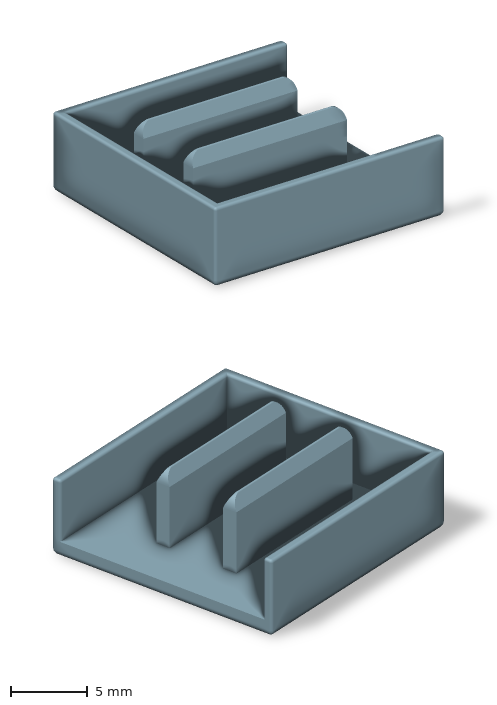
import cadquery as cq
import math

tray_width = 18.1
tray_depth = 18.5
tray_height = 5.79
wall_thickness = 0.7
floor_thickness = 1.2
edge_radius = 0.2
bottom_radius = 0.5

blade_length = 12.4
blade_width = 1.1
blade_pitch = 5.5
blade_front = 2.4
blade_top = 6.8
bevel_height = 1.02
tip_radius = 0.1
end_radius = bevel_height


def make_tray():
    """Open-ended tray with rounded rim, corners and underside; the floor's top edge stays sharp."""
    block = cq.Workplane("XY").box(tray_width, tray_depth, tray_height, centered=(True, False, False))
    block = block.faces("<Z").edges().fillet(bottom_radius)
    block = block.edges("|Z").fillet(edge_radius)

    inner_width = tray_width - 2 * wall_thickness
    cavity = (
        cq.Workplane("XY", origin=(0, wall_thickness, floor_thickness))
        .box(inner_width, tray_depth, tray_height, centered=(True, False, False))
    )
    tray = block.cut(cavity)

    inner_half = inner_width / 2
    mid_height = (floor_thickness + tray_height) / 2
    for x in (-inner_half, inner_half):
        wall_end = cq.selectors.NearestToPointSelector((x, tray_depth, mid_height))
        tray = tray.edges(wall_end).fillet(edge_radius)

    return tray.faces(">Z").edges().fillet(edge_radius)


def make_blade(x_center):
    """Upright blade: straight flanks, then a taper tangent to a round tip, with rounded ends."""
    half_width = blade_width / 2
    bevel_start = blade_top - bevel_height
    tip_center = blade_top - tip_radius

    drop = tip_center - bevel_start
    shoulder_distance = math.hypot(half_width, drop)
    tangent_angle = math.acos(tip_radius / shoulder_distance) - math.atan2(drop, half_width)
    tangent_x = tip_radius * math.cos(tangent_angle)
    tangent_z = tip_center + tip_radius * math.sin(tangent_angle)

    prism = (
        cq.Workplane("XZ", origin=(x_center, blade_front, 0))
        .moveTo(-half_width, floor_thickness)
        .lineTo(half_width, floor_thickness)
        .lineTo(half_width, bevel_start)
        .lineTo(tangent_x, tangent_z)
        .threePointArc((0, blade_top), (-tangent_x, tangent_z))
        .lineTo(-half_width, bevel_start)
        .close()
        .extrude(-blade_length)
    )
    rounded_side = (
        cq.Workplane("XY", origin=(x_center, blade_front, 0))
        .box(blade_width, blade_length, blade_top, centered=(True, False, False))
        .edges("|X and >Z").fillet(end_radius)
    )
    return prism.intersect(rounded_side)


tray = make_tray()

blades = []
for side in (-1, 1):
    blade = make_blade(side * blade_pitch / 2)
    blades.append(blade.val())

result = cq.Compound.makeCompound([tray.val(), *blades])